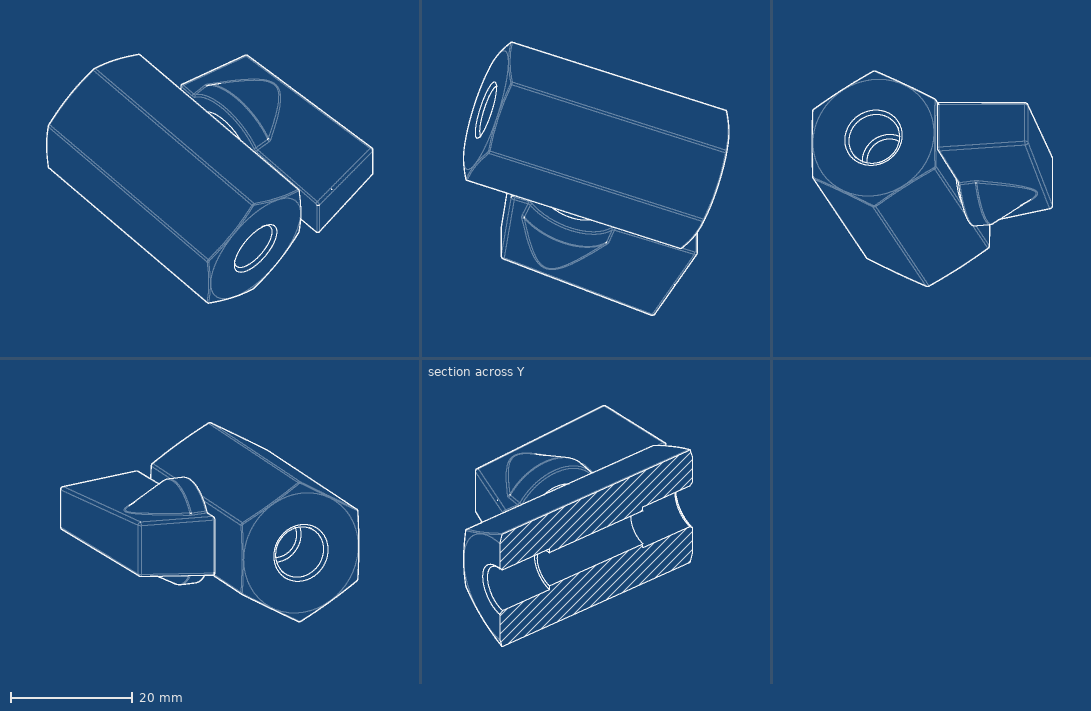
import cadquery as cq
import math

body_length = 39.07
across_flats = 21.0
corner_round = 0.5
end_face_radius = 10.3
end_chamfer_angle = 15
end_edge_round = 0.2

bore_diameter = 7.0
socket_diameter = 8.6
socket_mouth_diameter = 9.75
socket_depth = 10.07

stem_x = body_length / 2
stem_diameter = 11.0
stem_gap = 1.0
knob_base_y = across_flats / 2 + stem_gap

skirt_radius = 8.8
skirt_height = 3.02
cone_half_angle = 27
cone_top_radius = 4.2

lever_base_heel = (9.0, 0, 5.08)
lever_base_tip = (42.0, 0, 4.3)
lever_top_heel = (11.9, 12.45, 4.7)
lever_top_tip = (39.87, 14.85, 3.7)
knob_fillet = 0.5
knob_base_fillet = 0.3


def make_body():
    corner_diameter = across_flats / math.cos(math.pi / 6)
    hexagon = (
        cq.Workplane("YZ")
        .polygon(6, corner_diameter)
        .extrude(body_length)
        .rotate((0, 0, 0), (1, 0, 0), 30)
        .edges("|X")
        .fillet(corner_round)
    )
    envelope_radius = corner_diameter / 2
    cut_back = (envelope_radius - end_face_radius) * math.tan(math.radians(end_chamfer_angle))
    envelope = (
        cq.Workplane("XY")
        .polyline([
            (0, 0),
            (0, end_face_radius),
            (cut_back, envelope_radius),
            (body_length - cut_back, envelope_radius),
            (body_length, end_face_radius),
            (body_length, 0),
        ])
        .close()
        .revolve(360, (0, 0, 0), (1, 0, 0))
    )
    body = hexagon.intersect(envelope)
    return body.edges("%HYPERBOLA").fillet(end_edge_round)


def make_bore():
    mouth = socket_mouth_diameter / 2
    socket = socket_diameter / 2
    bore = bore_diameter / 2
    lead_in = mouth - socket
    return (
        cq.Workplane("XY")
        .polyline([
            (0, 0),
            (0, mouth),
            (lead_in, socket),
            (socket_depth, socket),
            (socket_depth, bore),
            (body_length - socket_depth, bore),
            (body_length - socket_depth, socket),
            (body_length - lead_in, socket),
            (body_length, mouth),
            (body_length, 0),
        ])
        .close()
        .revolve(360, (0, 0, 0), (1, 0, 0))
    )


def make_stem():
    return (
        cq.Workplane("XZ", origin=(stem_x, 0, 0))
        .circle(stem_diameter / 2)
        .extrude(-knob_base_y)
    )


def lever_section(heel, tip):
    heel_x, heel_height, heel_half = heel
    tip_x, tip_height, tip_half = tip
    corners = [
        (heel_x, knob_base_y + heel_height, -heel_half),
        (tip_x, knob_base_y + tip_height, -tip_half),
        (tip_x, knob_base_y + tip_height, tip_half),
        (heel_x, knob_base_y + heel_height, heel_half),
    ]
    return cq.Wire.makePolygon([cq.Vector(*corner) for corner in corners], close=True)


def make_lever():
    base = lever_section(lever_base_heel, lever_base_tip)
    top = lever_section(lever_top_heel, lever_top_tip)
    return cq.Workplane("XY").add(cq.Solid.makeLoft([base, top], True))


def make_skirt():
    cone_height = (skirt_radius - cone_top_radius) / math.tan(math.radians(cone_half_angle))
    cone_top = skirt_height + cone_height
    return (
        cq.Workplane("XY", origin=(stem_x, knob_base_y, 0))
        .polyline([
            (0, 0),
            (skirt_radius, 0),
            (skirt_radius, skirt_height),
            (cone_top_radius, cone_top),
            (0, cone_top),
        ])
        .close()
        .revolve(360, (0, 0, 0), (0, 1, 0))
    )


def make_knob():
    knob = make_lever().union(make_skirt())
    knob = knob.edges("not <Y").fillet(knob_fillet)
    return knob.faces("<Y").edges().fillet(knob_base_fillet)


body_with_stem = make_body().union(make_stem())
result = body_with_stem.cut(make_bore()).union(make_knob())